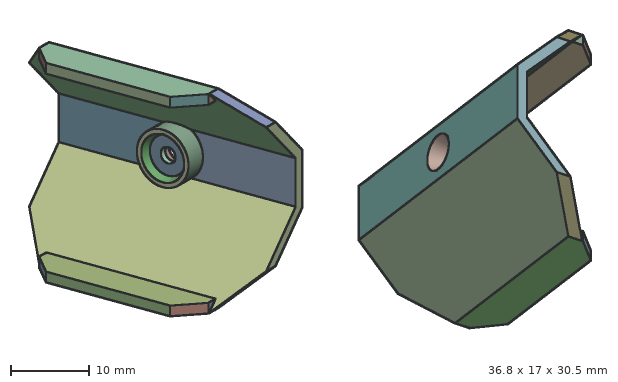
import cadquery as cq
import math

length = 36.75
depth = 17.0
height = 30.5
wall = 1.5
back_height = 8.0
slope_angle = 45.0

wall_corner_cut = 5.25
flange_corner_cut = 3.5

boss_diameter = 8.0
boss_top = 4.75
recess_mouth_diameter = 6.65
recess_floor_diameter = 5.65
recess_depth = 1.2
web = 1.0
hole_diameter = 2.25
back_recess_mouth_diameter = 5.0
back_recess_floor_diameter = 3.0

half_length = length / 2
half_height = height / 2
half_back = back_height / 2
slope_angle_rad = math.radians(slope_angle)
slope_depth = (half_height - half_back) / math.tan(slope_angle_rad)
slope_wall_along_y = wall / math.sin(slope_angle_rad)
bend_offset = wall * math.tan(slope_angle_rad / 2)
flange_half_length = half_length - wall_corner_cut
back_recess_depth = boss_top - recess_depth - web


def sloped_shell():
    """Back wall and both sloped walls, with the four corners cut along Y."""
    upper = [
        (0, half_back),
        (-slope_depth, half_height),
        (-slope_depth - slope_wall_along_y, half_height),
        (-wall, half_back - bend_offset),
    ]
    lower = [(y, -z) for y, z in reversed(upper)]
    profile = cq.Workplane("YZ").polyline(upper + lower).close()
    envelope = (
        cq.Workplane("XZ")
        .rect(length, height)
        .extrude(depth)
        .edges("|Y")
        .chamfer(wall_corner_cut)
    )
    return profile.extrude(half_length, both=True).intersect(envelope)


def flange(bottom):
    """Level flange, from a sloped wall to the front, with its front corners cut."""
    return (
        cq.Workplane("XY", origin=(0, -(depth + slope_depth) / 2, bottom))
        .rect(2 * flange_half_length, depth - slope_depth)
        .extrude(wall)
        .edges("|Z and <Y")
        .chamfer(flange_corner_cut)
    )


def boss():
    """Round boss standing on the inside of the back wall."""
    return cq.Workplane("XZ").circle(boss_diameter / 2).extrude(boss_top)


def tapered_cutter(start, start_diameter, cutter_length, end_diameter):
    """Cone frustum on the hole axis; start is its distance in front of the back face."""
    return (
        cq.Workplane("XZ", origin=(0, -start, 0))
        .circle(start_diameter / 2)
        .workplane(offset=cutter_length)
        .circle(end_diameter / 2)
        .loft()
    )


def boss_opening():
    """Front and back recesses, plus the hole that joins them."""
    front_recess = tapered_cutter(
        boss_top - recess_depth, recess_floor_diameter, recess_depth, recess_mouth_diameter
    )
    back_recess = tapered_cutter(
        0, back_recess_mouth_diameter, back_recess_depth, back_recess_floor_diameter
    )
    hole = cq.Workplane("XZ").circle(hole_diameter / 2).extrude(boss_top)
    return hole.union(front_recess).union(back_recess)


result = sloped_shell()
for flange_bottom in (half_height - wall, -half_height):
    result = result.union(flange(flange_bottom))
result = result.union(boss()).cut(boss_opening())